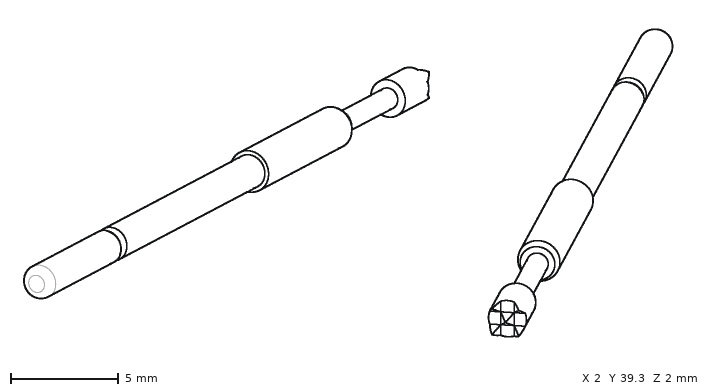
import cadquery as cq
import math

LENGTH = 39.3

COLLAR_DIAMETER = 2.0
HEAD_DIAMETER = 1.8
BARREL_DIAMETER = 1.6
PLUNGER_DIAMETER = 1.02

HEAD_LENGTH = 3.0
PLUNGER_LENGTH = 5.35
COLLAR_LENGTH = 8.95

NOSE_LENGTH = 0.35
NOSE_DIAMETER = 1.65
TAIL_RADIUS = 0.4

GROOVE_POSITION = 7.45
GROOVE_WIDTH = 0.6
GROOVE_DEPTH = 0.11

TOOTH_ANGLE = 60.0
TOOTH_PITCH = HEAD_DIAMETER / 2 / math.sqrt(2)
TOOTH_DEPTH = TOOTH_PITCH / 2 / math.tan(math.radians(TOOTH_ANGLE / 2))

TAIL_END = -LENGTH / 2
TIP_END = LENGTH / 2
TOOTH_ROOT = TIP_END - TOOTH_DEPTH
HEAD_START = TIP_END - HEAD_LENGTH
COLLAR_FRONT = HEAD_START - PLUNGER_LENGTH
COLLAR_BACK = COLLAR_FRONT - COLLAR_LENGTH
GROOVE_CENTRE = TAIL_END + GROOVE_POSITION


def make_body():
    """Revolve the half outline of tail, barrel, collar, plunger and plain head."""
    barrel_radius = BARREL_DIAMETER / 2
    collar_radius = COLLAR_DIAMETER / 2
    plunger_radius = PLUNGER_DIAMETER / 2
    head_radius = HEAD_DIAMETER / 2
    return (
        cq.Workplane("XY")
        .moveTo(0, TAIL_END)
        .lineTo(barrel_radius - TAIL_RADIUS, TAIL_END)
        .tangentArcPoint((barrel_radius, TAIL_END + TAIL_RADIUS), relative=False)
        .lineTo(barrel_radius, GROOVE_CENTRE - GROOVE_WIDTH / 2)
        .threePointArc(
            (barrel_radius - GROOVE_DEPTH, GROOVE_CENTRE),
            (barrel_radius, GROOVE_CENTRE + GROOVE_WIDTH / 2),
        )
        .lineTo(barrel_radius, COLLAR_BACK)
        .lineTo(collar_radius, COLLAR_BACK)
        .lineTo(collar_radius, COLLAR_FRONT - NOSE_LENGTH)
        .lineTo(NOSE_DIAMETER / 2, COLLAR_FRONT)
        .lineTo(plunger_radius, COLLAR_FRONT)
        .lineTo(plunger_radius, HEAD_START)
        .lineTo(head_radius, HEAD_START)
        .lineTo(head_radius, TIP_END)
        .lineTo(0, TIP_END)
        .close()
        .revolve(360, (0, 0), (0, 1))
    )


def make_channel():
    """Flat-bottomed channel along Z whose sloping walls are the rim teeth's flanks."""
    return (
        cq.Workplane("XY")
        .moveTo(-TOOTH_PITCH, TIP_END)
        .lineTo(-TOOTH_PITCH / 2, TOOTH_ROOT)
        .lineTo(TOOTH_PITCH / 2, TOOTH_ROOT)
        .lineTo(TOOTH_PITCH, TIP_END)
        .close()
        .extrude(HEAD_DIAMETER, both=True)
    )


def make_ridge():
    """Triangular ridge along Z standing on the channel floor."""
    return (
        cq.Workplane("XY")
        .moveTo(-TOOTH_PITCH / 2, TOOTH_ROOT)
        .lineTo(TOOTH_PITCH / 2, TOOTH_ROOT)
        .lineTo(0, TIP_END)
        .close()
        .extrude(HEAD_DIAMETER, both=True)
    )


def turn_about_axis(shape):
    """Turn a shape running along Z so that it runs along X."""
    return shape.rotate((0, 0, 0), (0, 1, 0), 90)


def cut_teeth(body):
    """Cross two channels over the head and stand the centre pyramid where they meet."""
    channel = make_channel()
    ridge = make_ridge()
    pyramid = ridge.intersect(turn_about_axis(ridge))
    return body.cut(channel).cut(turn_about_axis(channel)).union(pyramid)


result = cut_teeth(make_body())